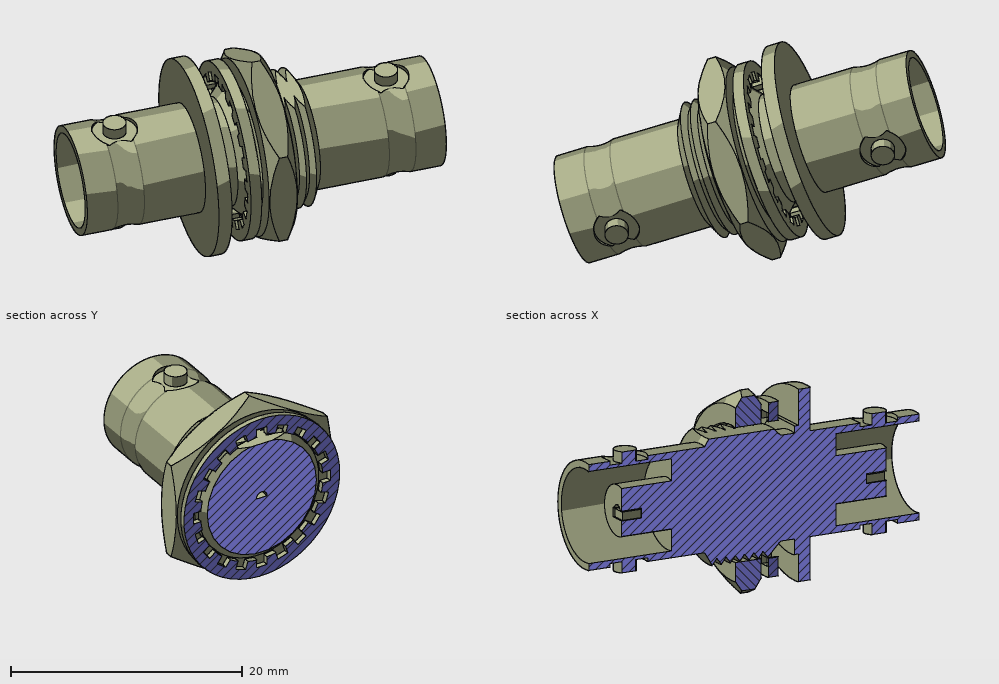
import cadquery as cq
import math


BODY_LENGTH = 32.55
BARREL_RADIUS = 4.85
FLANGE_RADIUS = 8.742
FLANGE_START = 10.7
FLANGE_END = 11.92
COLLAR_RADIUS = 6.25
COLLAR_END = 12.3

LUG_FROM_END = 3.97
LUG_RADIUS = 1.0
LUG_HEIGHT = 5.47
SPOT_RADIUS = 2.0
SPOT_HEIGHT = 4.45
GROOVE_HALF_WIDTH = 1.2
GROOVE_DEPTH = 0.2

THREAD_START = 13.65
THREAD_END = 21.13
LAST_CREST = 20.38
THREAD_PITCH = 0.9
CREST_COUNT = 7
CREST_RADIUS = 6.12
ROOT_RADIUS = 5.55
FLAT_HEIGHT = 5.45

BORE_RADIUS = 4.2
BORE_DEPTH = 8.15
POST_RADIUS = 2.3
POST_RECESS = 3.22
CONTACT_HOLE_RADIUS = 0.52
SLOT_BOTTOM = -0.75
SLOT_TOP = 0.1
SLOT_WIDTH = 1.5
SLOT_DEPTH = 1.95
BLADE_WIDTH = 1.35
BLADE_TOP = 0.0
BLADE_RECESS = 0.13

NUT_START = 15.53
NUT_THICKNESS = 2.57
NUT_ACROSS_FLATS = 15.9
NUT_FACE_RADIUS = 7.88
NUT_CHAMFER_LENGTH = 0.9

WASHER_START = 13.87
WASHER_THICKNESS = 0.98
WASHER_RADIUS = 7.95
WASHER_BORE_RADIUS = 6.2
NOTCH_COUNT = 20
NOTCH_WIDTH = 1.0
NOTCH_OUTER_RADIUS = 6.95


def disc(radius, start, length):
    """Cylinder on the Y axis that runs from Y = start toward +Y."""
    return cq.Workplane("XZ", origin=(0, start, 0)).circle(radius).extrude(-length)


def add_groove(profile, center):
    """Continue a profile along the barrel through a shallow arc centred at Y = center."""
    return (
        profile.lineTo(BARREL_RADIUS, center - GROOVE_HALF_WIDTH)
        .threePointArc(
            (BARREL_RADIUS - GROOVE_DEPTH, center),
            (BARREL_RADIUS, center + GROOVE_HALF_WIDTH),
        )
    )


def add_thread(profile):
    """Continue a profile through the thread crests, with a root between neighbours."""
    first_crest = LAST_CREST - (CREST_COUNT - 1) * THREAD_PITCH
    profile = profile.lineTo(BARREL_RADIUS, THREAD_START)
    for index in range(CREST_COUNT):
        crest = first_crest + index * THREAD_PITCH
        if index > 0:
            profile = profile.lineTo(ROOT_RADIUS, crest - THREAD_PITCH / 2)
        profile = profile.lineTo(CREST_RADIUS, crest)
    return profile.lineTo(BARREL_RADIUS, THREAD_END)


def turned_blank():
    """Outer shape of the body, revolved from its half profile."""
    profile = cq.Workplane("XY").lineTo(BARREL_RADIUS, 0)
    profile = add_groove(profile, LUG_FROM_END)
    profile = (
        profile.lineTo(BARREL_RADIUS, FLANGE_START)
        .lineTo(FLANGE_RADIUS, FLANGE_START)
        .lineTo(FLANGE_RADIUS, FLANGE_END)
        .lineTo(COLLAR_RADIUS, FLANGE_END)
        .lineTo(COLLAR_RADIUS, COLLAR_END)
        .lineTo(BARREL_RADIUS, COLLAR_END)
    )
    profile = add_thread(profile)
    profile = add_groove(profile, BODY_LENGTH - LUG_FROM_END)
    profile = profile.lineTo(BARREL_RADIUS, BODY_LENGTH).lineTo(0, BODY_LENGTH).close()
    return profile.revolve(360, (0, 0, 0), (0, 1, 0))


def thread_flat():
    """Block above the flat that crosses the collar and the thread."""
    return cq.Workplane("XY").box(
        2 * COLLAR_RADIUS,
        THREAD_END - FLANGE_END,
        COLLAR_RADIUS - FLAT_HEIGHT,
        centered=(True, False, False),
    ).translate((0, FLANGE_END, FLAT_HEIGHT))


def front_lugs(height, radius, base):
    """Upper and lower cylinders across the front lug position, from |Z| = base to height."""
    upper = (
        cq.Workplane("XY", origin=(0, LUG_FROM_END, base))
        .circle(radius)
        .extrude(height - base)
    )
    return upper.union(upper.mirror("XY"))


def contact_block(width, top):
    """Block that reaches into the end of the post, from the slot bottom up to Z = top."""
    return cq.Workplane("XY").box(
        width, SLOT_DEPTH, top - SLOT_BOTTOM, centered=(True, False, False)
    ).translate((0, POST_RECESS, SLOT_BOTTOM))


def front_socket():
    """Space inside the front socket: bore around the post, and slot around the contact blade."""
    bore_space = disc(BORE_RADIUS, 0, BORE_DEPTH).cut(
        disc(POST_RADIUS, POST_RECESS, BORE_DEPTH - POST_RECESS)
    )
    slot = contact_block(SLOT_WIDTH, SLOT_TOP)
    blade = contact_block(BLADE_WIDTH, BLADE_TOP).translate((0, BLADE_RECESS, 0))
    return bore_space.union(slot.cut(blade))


def contact_passage():
    """Half-round hole above the contact blades, through the whole body."""
    upper_half = cq.Workplane("XY").box(
        2 * CONTACT_HOLE_RADIUS, BODY_LENGTH, CONTACT_HOLE_RADIUS, centered=(True, False, False)
    )
    return disc(CONTACT_HOLE_RADIUS, 0, BODY_LENGTH).intersect(upper_half)


def at_both_ends(front):
    """The front shape and its mirror image at the rear end."""
    return [front, front.mirror("XZ", (0, BODY_LENGTH / 2, 0))]


def make_body():
    body = turned_blank().cut(thread_flat())
    for spots in at_both_ends(front_lugs(LUG_HEIGHT, SPOT_RADIUS, SPOT_HEIGHT)):
        body = body.cut(spots)
    for lugs in at_both_ends(front_lugs(LUG_HEIGHT, LUG_RADIUS, SPOT_HEIGHT)):
        body = body.union(lugs)
    for socket in at_both_ends(front_socket()):
        body = body.cut(socket)
    return body.cut(contact_passage())


def make_nut():
    """Hex nut with corners toward +Z and -Z, chamfered on both faces."""
    corner_radius = NUT_ACROSS_FLATS / 2 / math.cos(math.radians(30))
    nut_end = NUT_START + NUT_THICKNESS
    hexagon = (
        cq.Workplane("XZ", origin=(0, NUT_START, 0))
        .polygon(6, 2 * corner_radius)
        .extrude(-NUT_THICKNESS)
        .rotate((0, 0, 0), (0, 1, 0), 90)
    )
    chamfer_envelope = (
        cq.Workplane("XY")
        .moveTo(CREST_RADIUS, NUT_START)
        .lineTo(NUT_FACE_RADIUS, NUT_START)
        .lineTo(corner_radius, NUT_START + NUT_CHAMFER_LENGTH)
        .lineTo(corner_radius, nut_end - NUT_CHAMFER_LENGTH)
        .lineTo(NUT_FACE_RADIUS, nut_end)
        .lineTo(CREST_RADIUS, nut_end)
        .close()
        .revolve(360, (0, 0, 0), (0, 1, 0))
    )
    return hexagon.intersect(chamfer_envelope)


def make_washer():
    """Lock washer whose bore is notched into inward-pointing teeth."""
    washer = disc(WASHER_RADIUS, WASHER_START, WASHER_THICKNESS).cut(
        disc(WASHER_BORE_RADIUS, WASHER_START, WASHER_THICKNESS)
    )
    notch = cq.Workplane("XY").box(
        NOTCH_OUTER_RADIUS, WASHER_THICKNESS, NOTCH_WIDTH, centered=(False, False, True)
    ).translate((0, WASHER_START, 0))
    for index in range(NOTCH_COUNT):
        washer = washer.cut(notch.rotate((0, 0, 0), (0, 1, 0), index * 360 / NOTCH_COUNT))
    return washer


connector_body = make_body()
hex_nut = make_nut()
lock_washer = make_washer()

result = cq.Compound.makeCompound([connector_body.val(), hex_nut.val(), lock_washer.val()])